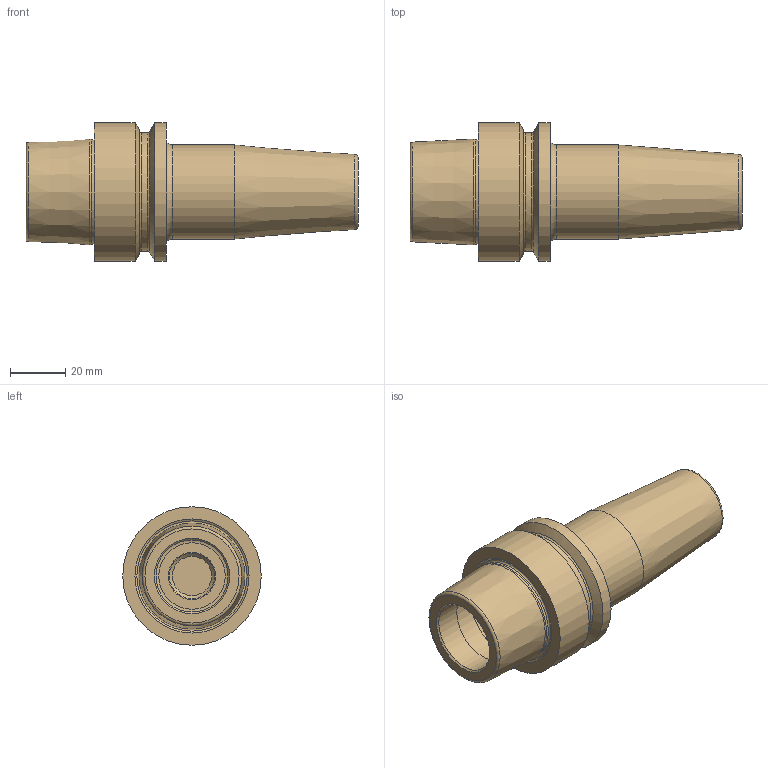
import cadquery as cq
import math


overall_length = 119.9

shank_length = 24.6
taper_large_radius = 19.1
taper_slope = 1 / 20
taper_end_x = -1.7
shank_end_round = 1.0

relief_radius = 18.95
relief_start_x = -0.9
relief_end_x = 0.0
undercut_depth = 0.4
undercut_inner_radius = 19.9
undercut_outer_radius = 20.6

flange_radius = 25.0
flange_width = 26.0
groove_start_x = 14.8
groove_wall_x = 16.3
groove_end_x = 21.9
groove_floor_radius = 21.4
groove_flank_angle = 60
groove_floor_round = 0.8

neck_radius = 17.0
neck_blend_length = 2.2
neck_blend_height = 1.3
neck_end_x = 50.6
tip_radius = 13.5
tip_round = 1.2

bore_radius = 13.0
bore_mouth_chamfer = 0.6
bore_depth = 9.8
chamber_radius = 14.5
chamber_shoulder_angle = 60
chamber_depth = 21.0
chamber_floor_round = 2.5
pocket_mouth_radius = 8.5
pocket_mouth_chamfer = 0.3
pocket_depth = 8.0
pocket_floor_radius = 7.1

shank_end_x = -shank_length
tip_x = overall_length - shank_length


def slope_of(angle):
    """Radius gained per unit length by a line at this angle to the axis."""
    return math.tan(math.radians(angle))


def revolve_about_axis(profile):
    """Solid of revolution about X from an open half profile that starts and ends on the axis."""
    return profile.close().revolve(360, (0, 0, 0), (1, 0, 0))


def ring_edge(solid, x, radius):
    """The circular edge of the given radius about the axis at position x."""
    tolerance = 0.01
    low = (x - tolerance, -radius - tolerance, -radius - tolerance)
    high = (x + tolerance, radius + tolerance, radius + tolerance)
    box = cq.selectors.BoxSelector(low, high, boundingbox=True)
    return solid.edges(box).edges(cq.selectors.RadiusNthSelector(-1))


def tangent_arc_middle(start_x, start_radius, run, rise):
    """Middle point of an arc that leaves a cylinder tangentially and ends run along and rise out."""
    arc_radius = (run**2 + rise**2) / (2 * rise)
    half_angle = math.atan2(rise, abs(run))
    return (
        start_x + math.copysign(arc_radius * math.sin(half_angle), run),
        start_radius + arc_radius * (1 - math.cos(half_angle)),
    )


def make_body():
    """The outer shape, solid throughout."""
    shank_end_radius = taper_large_radius - taper_slope * (taper_end_x - shank_end_x)
    flank_slope = slope_of(groove_flank_angle)
    wall_top_radius = flange_radius - flank_slope * (groove_wall_x - groove_start_x)
    flank_foot_x = groove_end_x - (flange_radius - groove_floor_radius) / flank_slope
    undercut_rise = undercut_inner_radius - relief_radius

    undercut_middle = tangent_arc_middle(
        relief_end_x, relief_radius, undercut_depth - relief_end_x, undercut_rise
    )
    neck_blend_middle = tangent_arc_middle(
        flange_width + neck_blend_length, neck_radius, -neck_blend_length, neck_blend_height
    )

    body = revolve_about_axis(
        cq.Workplane("XY")
        .moveTo(shank_end_x, 0)
        .lineTo(shank_end_x, shank_end_radius)
        .lineTo(taper_end_x, taper_large_radius)
        .lineTo(relief_start_x, relief_radius)
        .lineTo(relief_end_x, relief_radius)
        .threePointArc(undercut_middle, (undercut_depth, undercut_inner_radius))
        .lineTo(0, undercut_outer_radius)
        .lineTo(0, flange_radius)
        .lineTo(groove_start_x, flange_radius)
        .lineTo(groove_wall_x, wall_top_radius)
        .lineTo(groove_wall_x, groove_floor_radius)
        .lineTo(flank_foot_x, groove_floor_radius)
        .lineTo(groove_end_x, flange_radius)
        .lineTo(flange_width, flange_radius)
        .lineTo(flange_width, neck_radius + neck_blend_height)
        .threePointArc(neck_blend_middle, (flange_width + neck_blend_length, neck_radius))
        .lineTo(neck_end_x, neck_radius)
        .lineTo(tip_x, tip_radius)
        .lineTo(tip_x, 0)
    )
    body = ring_edge(body, shank_end_x, shank_end_radius).fillet(shank_end_round)
    body = ring_edge(body, groove_wall_x, groove_floor_radius).fillet(groove_floor_round)
    body = ring_edge(body, flank_foot_x, groove_floor_radius).fillet(groove_floor_round)
    return ring_edge(body, tip_x, tip_radius).fillet(tip_round)


def make_cavity():
    """The hollow of the shank, as a solid to be cut away."""
    bore_end_x = shank_end_x + bore_depth
    shoulder_end_x = bore_end_x + (chamber_radius - bore_radius) / slope_of(chamber_shoulder_angle)
    chamber_floor_x = shank_end_x + chamber_depth
    chamber = revolve_about_axis(
        cq.Workplane("XY")
        .moveTo(shank_end_x, 0)
        .lineTo(shank_end_x, bore_radius + bore_mouth_chamfer)
        .lineTo(shank_end_x + bore_mouth_chamfer, bore_radius)
        .lineTo(bore_end_x, bore_radius)
        .lineTo(shoulder_end_x, chamber_radius)
        .lineTo(chamber_floor_x, chamber_radius)
        .lineTo(chamber_floor_x, 0)
    )
    chamber = ring_edge(chamber, chamber_floor_x, chamber_radius).fillet(chamber_floor_round)

    pocket_floor_x = chamber_floor_x + pocket_depth
    pocket_radius = pocket_mouth_radius - pocket_mouth_chamfer
    pocket = revolve_about_axis(
        cq.Workplane("XY")
        .moveTo(chamber_floor_x, 0)
        .lineTo(chamber_floor_x, pocket_mouth_radius)
        .lineTo(chamber_floor_x + pocket_mouth_chamfer, pocket_radius)
        .lineTo(pocket_floor_x - (pocket_radius - pocket_floor_radius), pocket_radius)
        .lineTo(pocket_floor_x, pocket_floor_radius)
        .lineTo(pocket_floor_x, 0)
    )
    return chamber.union(pocket)


result = make_body().cut(make_cavity())